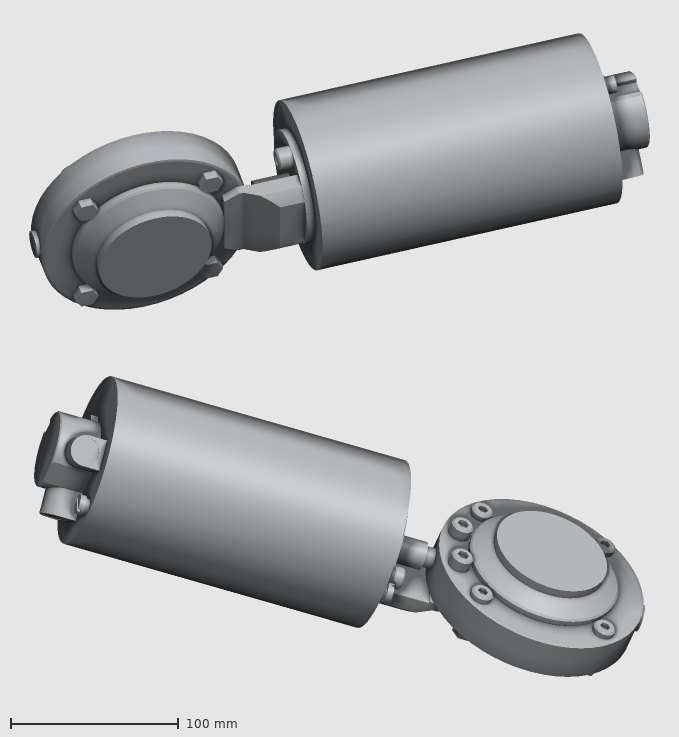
import cadquery as cq
import math


overall_length = 376.5

body_diameter = 130.0
body_radius = body_diameter / 2
body_half_width = 12.0
rim_bevel_radial = 1.5
rim_bevel_axial = 0.5
collar_radius = 47.0
collar_lip = 1.0
collar_end = 17.7
cone_end = 24.5
pipe_radius = 35.0
pipe_end = 30.0

end_plug_radius = 8.3
end_plug_front = -67.0
stem_neck_radius = 6.5
stem_neck_end = 70.8
stem_radius = 8.5

actuator_radius = 52.0
actuator_front = 97.5
actuator_back = 283.8
flange_radius = 35.0
flange_thickness = 4.5
flange_front = actuator_front - flange_thickness

hub_radius = 23.5
hub_back = end_plug_front + overall_length
hub_flat_height = 22.0
hub_bevel = 0.8
hub_notch_width = 10.0
hub_notch_floor = 19.0
port_radius = 9.5
port_recess_radius = 8.0
port_recess_depth = 0.5
port_axis_y = 294.7
port_reach = 38.5
port_angle = 45

lug_thickness = 4.5
lug_tip_half_width = 3.8
lug_root_half_width = 18.0
lug_tip_z = 33.5
lug_shoulder_z = 20.0
lug_root_z = 14.0
lug_bolt_radius = 5.3
lug_bolt_head = 6.0
lug_bolt_z = 28.0

breather_z = -44.0
breather_neck_radius = 4.5
breather_neck_length = 2.5
breather_head_radius = 6.0
breather_total_length = 6.5
breather_slot_width = 1.5
breather_slot_depth = 2.0

bracket_half_height = 25.5
bracket_trim_radius = 34.3
bracket_inner_x = 13.0
bracket_pad_back = 62.0
bracket_outer_x = 29.0
bracket_foot_x = collar_end
bracket_slope_back = 78.0
bracket_slope_front = 58.5
bracket_foot_front = 46.5
bracket_corner_y = 9.0
bracket_corner_z = 4.5

body_bolt_offset = 38.8
body_bolt_radius = 6.8
body_bolt_head = 4.5
body_bolt_socket = 6.5
body_nut_height = 5.5
body_nut_corners = 14.3
bracket_bolt_y = 52.7
bracket_bolt_z = 14.5
bracket_bolt_radius = 6.8
bracket_bolt_head = 8.3
bracket_bolt_socket = 7.0
flange_bolt_z = 27.5
flange_bolt_radius = 6.8
flange_bolt_head = 9.0
flange_bolt_socket = 7.5
socket_depth = 3.0
head_chamfer = 1.0


def rod(radius, y_start, y_end, z=0):
    """Round bar parallel to Y at x = 0."""
    return cq.Workplane("XZ", origin=(0, y_start, z)).circle(radius).extrude(y_start - y_end)


def socket_head(plane, radius, height, socket):
    """Cap screw head standing on the plane, with a hexagon socket."""
    head = cq.Workplane(plane).circle(radius).extrude(height)
    head = head.faces(cq.DirectionMinMaxSelector(plane.zDir)).chamfer(head_chamfer)
    hexagon = cq.Workplane(plane).workplane(offset=height).polygon(6, socket).extrude(-socket_depth)
    return head.cut(hexagon)


def valve_body():
    """Disc body with a conical pipe ferrule on each side, revolved about X."""
    half = (
        cq.Workplane("XY")
        .moveTo(0, 0)
        .lineTo(0, body_radius)
        .lineTo(body_half_width - rim_bevel_axial, body_radius)
        .lineTo(body_half_width, body_radius - rim_bevel_radial)
        .lineTo(body_half_width, collar_radius - collar_lip)
        .lineTo(body_half_width + collar_lip, collar_radius)
        .lineTo(collar_end - collar_lip, collar_radius)
        .lineTo(collar_end, collar_radius - collar_lip)
        .lineTo(cone_end, pipe_radius)
        .lineTo(pipe_end, pipe_radius)
        .lineTo(pipe_end, 0)
        .close()
        .revolve(360, (0, 0, 0), (1, 0, 0))
    )
    return half.union(half.mirror("YZ"))


def stem():
    plug = rod(end_plug_radius, end_plug_front, 0)
    neck = rod(stem_neck_radius, 0, stem_neck_end)
    shaft = rod(stem_radius, stem_neck_end, actuator_front)
    return plug.union(neck).union(shaft)


def actuator():
    barrel = rod(actuator_radius, actuator_front, actuator_back)
    return barrel.union(rod(flange_radius, flange_front, actuator_front))


def rear_hub():
    """Round hub with flats above and below and a notch beside the lug bolt."""
    length = hub_back - actuator_back
    middle = (actuator_back + hub_back) / 2
    flats = cq.Workplane("XY", origin=(0, middle, 0)).box(2 * hub_radius, length, 2 * hub_flat_height)
    notch = (
        cq.Workplane("XY", origin=(0, middle, hub_notch_floor))
        .rect(hub_notch_width, length)
        .extrude(hub_radius)
    )
    hub = rod(hub_radius, actuator_back, hub_back).faces(">Y").chamfer(hub_bevel)
    return hub.intersect(flats).cut(notch)


def elbow_port(side):
    """Port leaving the hub downwards and sideways; it has a round top and stands on the barrel."""
    angle = math.radians(port_angle)
    outward = cq.Vector(side * math.cos(angle), 0, -math.sin(angle))
    across = cq.Vector(0, 1, 0).cross(outward)
    axis = cq.Plane(origin=(0, port_axis_y, 0), xDir=across, normal=outward)
    foot_drop = port_axis_y - actuator_back
    tube = cq.Workplane(axis).circle(port_radius).extrude(port_reach)
    foot = (
        cq.Workplane(axis)
        .center(0, -foot_drop / 2)
        .rect(2 * port_radius, foot_drop)
        .extrude(port_reach)
    )
    recess = cq.Workplane(axis).workplane(offset=port_reach).circle(port_recess_radius).extrude(-port_recess_depth)
    return tube.union(foot).cut(recess)


def rear_lug():
    """Tapered lug on the back of the barrel with a bolt head on it."""
    lug_back = actuator_back + lug_thickness
    lug = (
        cq.Workplane("XZ", origin=(0, actuator_back, 0))
        .moveTo(-lug_root_half_width, lug_root_z)
        .lineTo(-lug_root_half_width, lug_shoulder_z)
        .lineTo(-lug_tip_half_width, lug_tip_z)
        .lineTo(lug_tip_half_width, lug_tip_z)
        .lineTo(lug_root_half_width, lug_shoulder_z)
        .lineTo(lug_root_half_width, lug_root_z)
        .close()
        .extrude(-lug_thickness)
    )
    return lug.union(rod(lug_bolt_radius, lug_back, lug_back + lug_bolt_head, lug_bolt_z))


def breather(face_y, outward, slot_angle):
    """Slotted screw standing off a barrel end; outward is +1 or -1 along Y."""
    neck_y = face_y + outward * breather_neck_length
    head_y = face_y + outward * breather_total_length
    slot = (
        cq.Workplane("XZ", origin=(0, head_y, breather_z))
        .transformed(rotate=(0, 0, slot_angle))
        .box(2 * breather_head_radius, breather_slot_width, 2 * breather_slot_depth)
    )
    neck = rod(breather_neck_radius, face_y, neck_y, breather_z)
    return neck.union(rod(breather_head_radius, neck_y, head_y, breather_z)).cut(slot)


def bracket():
    """Plate on the +X side, tapering to a foot on the body and trimmed round near the flange radius."""
    plate = (
        cq.Workplane("XY", origin=(0, 0, -bracket_half_height))
        .moveTo(bracket_inner_x, flange_front)
        .lineTo(bracket_outer_x, flange_front)
        .lineTo(bracket_outer_x, bracket_slope_back)
        .lineTo(bracket_foot_x, bracket_slope_front)
        .lineTo(bracket_foot_x, bracket_foot_front)
        .lineTo(body_half_width, bracket_foot_front)
        .lineTo(body_half_width, bracket_pad_back)
        .lineTo(bracket_inner_x, bracket_pad_back)
        .close()
        .extrude(2 * bracket_half_height)
    )
    corner_z = bracket_half_height - bracket_corner_z
    corner_y = bracket_foot_front + bracket_corner_y
    outline = (
        cq.Workplane("YZ")
        .moveTo(flange_front, -bracket_half_height)
        .lineTo(corner_y, -bracket_half_height)
        .lineTo(bracket_foot_front, -corner_z)
        .lineTo(bracket_foot_front, corner_z)
        .lineTo(corner_y, bracket_half_height)
        .lineTo(flange_front, bracket_half_height)
        .close()
        .extrude(bracket_outer_x)
    )
    return plate.intersect(outline).intersect(rod(bracket_trim_radius, 0, flange_front))


def body_face(y, z, side):
    """Plane on a flat face of the body, facing outward along X."""
    return cq.Plane(origin=(side * body_half_width, y, z), xDir=(0, 1, 0), normal=(side, 0, 0))


def fasteners():
    parts = []
    for y_sign in (-1, 1):
        for z_sign in (-1, 1):
            y = y_sign * body_bolt_offset
            z = z_sign * body_bolt_offset
            parts.append(socket_head(body_face(y, z, -1), body_bolt_radius, body_bolt_head, body_bolt_socket))
            parts.append(cq.Workplane(body_face(y, z, 1)).polygon(6, body_nut_corners).extrude(body_nut_height))
    for sign in (-1, 1):
        on_body = body_face(bracket_bolt_y, sign * bracket_bolt_z, -1)
        parts.append(socket_head(on_body, bracket_bolt_radius, bracket_bolt_head, bracket_bolt_socket))
        on_flange = cq.Plane(origin=(0, flange_front, sign * flange_bolt_z), xDir=(1, 0, 0), normal=(0, -1, 0))
        parts.append(socket_head(on_flange, flange_bolt_radius, flange_bolt_head, flange_bolt_socket))
    return parts


features = [
    stem(),
    actuator(),
    bracket(),
    rear_hub(),
    elbow_port(-1),
    elbow_port(1),
    rear_lug(),
    breather(actuator_front, -1, slot_angle=0),
    breather(actuator_back, 1, slot_angle=90),
]

result = valve_body()
for feature in features + fasteners():
    result = result.union(feature)